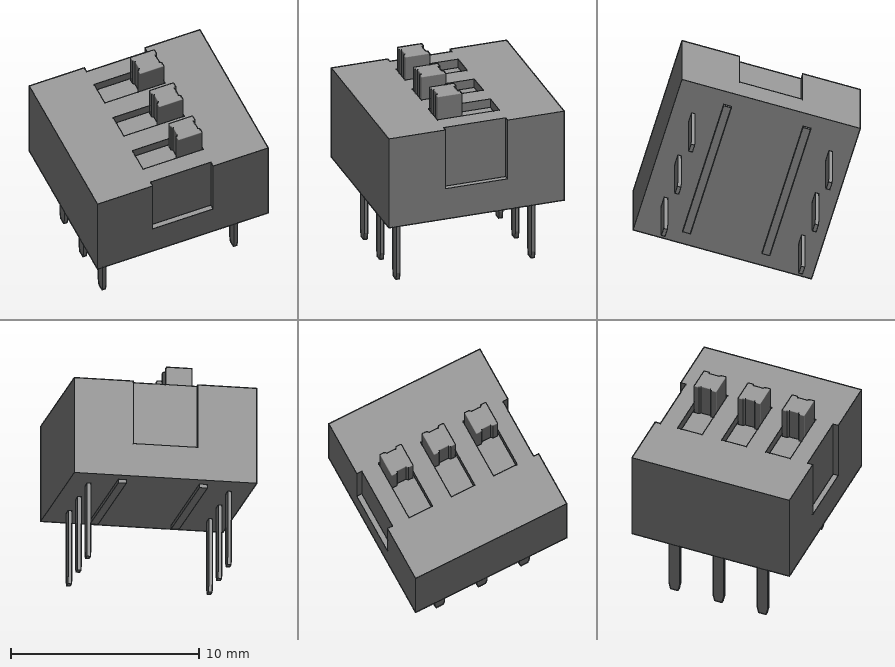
import cadquery as cq

WIDTH = 9.08
LENGTH = 9.9
HEIGHT = 5.28

SWITCH_COUNT = 3
PITCH = 2.54
switch_xs = [(i - (SWITCH_COUNT - 1) / 2) * PITCH for i in range(SWITCH_COUNT)]

SLOT_WIDTH = 1.42
SLOT_LENGTH = 3.5
SLOT_DEPTH = 0.5

RECESS_DEPTH = 0.3
RECESS_HEIGHT = 3.48

LEVER_WIDTH = 1.3
LEVER_LENGTH = 1.4
LEVER_RISE = 1.32
LEVER_ROUNDING = 0.05
LEVER_END_GAP = 0.03
GROOVE_MOUTH = 0.7
GROOVE_FLOOR = 0.52
GROOVE_DEPTH = 0.1

RIB_SPAN = 7.6
RIB_WIDTH = 0.43
RIB_HEIGHT = 0.2
RIB_OFFSET = 2.2

TOTAL_HEIGHT = 10.65
PIN_LENGTH = TOTAL_HEIGHT - HEIGHT - LEVER_RISE
PIN_WIDTH = 0.6
PIN_TIP_WIDTH = 0.42
PIN_TAPER = 0.4
PIN_THICKNESS = 0.2
PIN_ROW_SPACING = 7.62


def make_housing():
    """Box with its underside at Z = 0, with side recesses and lever slots."""
    body = cq.Workplane("XY").box(WIDTH, LENGTH, HEIGHT, centered=(True, True, False))
    recess_cutter = cq.Workplane("XY").box(2 * RECESS_DEPTH, SLOT_LENGTH, RECESS_HEIGHT)
    for side in (-1, 1):
        body = body.cut(recess_cutter.translate((side * WIDTH / 2, 0, HEIGHT - RECESS_HEIGHT / 2)))
    slot_cutter = cq.Workplane("XY").box(SLOT_WIDTH, SLOT_LENGTH, SLOT_DEPTH)
    for x in switch_xs:
        body = body.cut(slot_cutter.translate((x, 0, HEIGHT - SLOT_DEPTH / 2)))
    return body


def make_lever():
    """Lever standing on the slot floor near the +Y end, grooved on both Y faces."""
    half_width = LEVER_WIDTH / 2
    half_length = LEVER_LENGTH / 2
    half_mouth = GROOVE_MOUTH / 2
    half_floor = GROOVE_FLOOR / 2
    groove_y = half_length - GROOVE_DEPTH
    front_edge = [
        (-half_width, -half_length),
        (-half_mouth, -half_length),
        (-half_floor, -groove_y),
        (half_floor, -groove_y),
        (half_mouth, -half_length),
        (half_width, -half_length),
    ]
    back_edge = [(-x, -y) for x, y in front_edge]
    lever = (
        cq.Workplane("XY")
        .polyline(front_edge + back_edge)
        .close()
        .extrude(SLOT_DEPTH + LEVER_RISE)
        .edges(">Z or (|Z and (<X or >X))")
        .fillet(LEVER_ROUNDING)
    )
    return lever.translate((0, SLOT_LENGTH / 2 - LEVER_END_GAP - half_length, HEIGHT - SLOT_DEPTH))


def make_rib():
    """Standoff rib along X, hanging below the housing."""
    return cq.Workplane("XY").box(RIB_SPAN, RIB_WIDTH, RIB_HEIGHT).translate((0, 0, -RIB_HEIGHT / 2))


def make_pin():
    """Flat pin hanging below the housing, with a tip tapered in X."""
    taper_z = PIN_TAPER - PIN_LENGTH
    outline = [
        (-PIN_WIDTH / 2, 0),
        (-PIN_WIDTH / 2, taper_z),
        (-PIN_TIP_WIDTH / 2, -PIN_LENGTH),
        (PIN_TIP_WIDTH / 2, -PIN_LENGTH),
        (PIN_WIDTH / 2, taper_z),
        (PIN_WIDTH / 2, 0),
    ]
    return cq.Workplane("XZ").polyline(outline).close().extrude(PIN_THICKNESS / 2, both=True)


result = make_housing()
lever = make_lever()
rib = make_rib()
pin = make_pin()
for side in (-1, 1):
    result = result.union(rib.translate((0, side * RIB_OFFSET, 0)))
for x in switch_xs:
    result = result.union(lever.translate((x, 0, 0)))
    for side in (-1, 1):
        result = result.union(pin.translate((x, side * PIN_ROW_SPACING / 2, 0)))